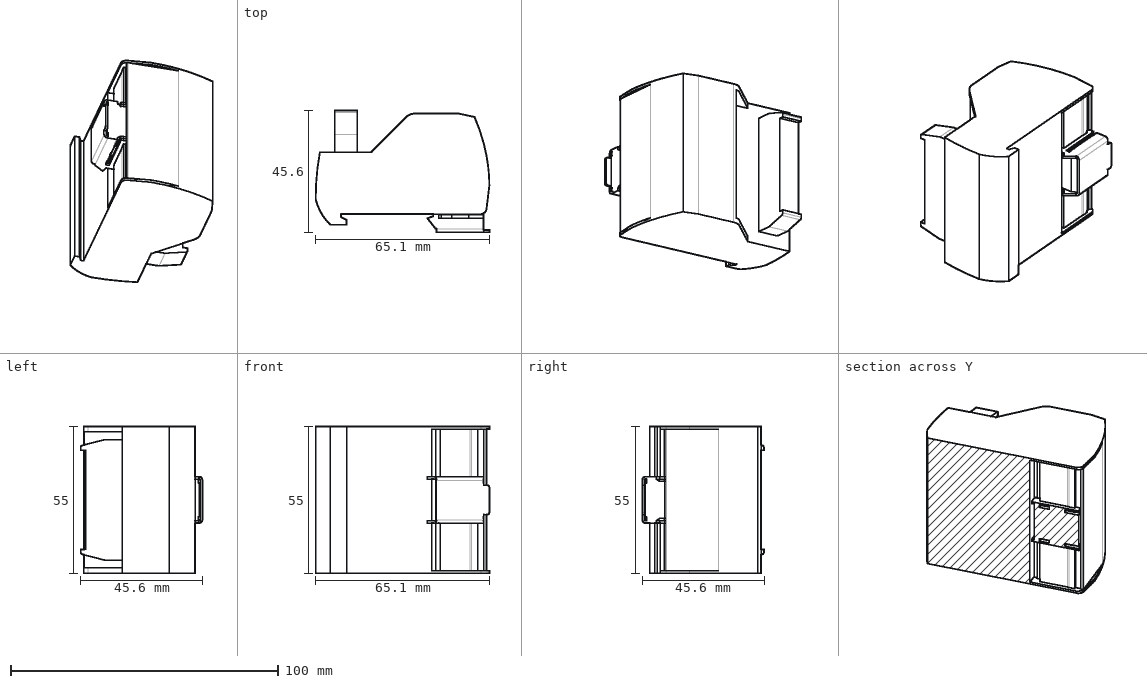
import cadquery as cq

length = 65.05
width = 55.0
end_wall = 1.05
inner_width = width - 2 * end_wall

overlap = 0.65

hook_drop = 4.05
hook_end_x = 11.65
hook_tip_y = -2.15
hook_root_x = 9.55
hook_root_y = -1.1
left_corner_y = 5.5
left_arc_point = (0.3, 14.0)
hook_arc_point = (2.1, 0.3)
hook_start_x = 5.5
deck_y = 23.15
deck_start_x = 1.55
tower_foot_x = 20.7
tower_top_y = 37.65
tower_bevel_x = 53.4
tower_tip_x = 59.45
tower_tip_y = 36.35
back_arc_point = (63.55, 23.9)
nose_y = 10.8
heel_x = 63.75
heel_radius = 2.3
shoulder_radius = 5.2

tower_wall = 2.1
shoulder_x = tower_foot_x + tower_top_y - deck_y
pocket_back_x = 35.85

holder_x = 7.1
holder_length = 8.5
holder_half_width = 22.5
holder_bend_y = 29.85
holder_lip_half_width = 20.2
holder_tip_y = 38.8
holder_tip_radius = 0.85
holder_gap_half_width = 18.5
holder_gap_y = 36.9

recess_x = 43.4
groove_x = 44.95
groove_wall_x = 46.65
groove_y = 3.25
groove_root_y = 4.0
groove_arc_point = (44.25, 3.7)
floor_y = 1.5
ramp_x = 57.65
ramp_end_x = 58.2
step_x = 60.7
ramp_floor_y = 1.35
step_floor_y = 2.2
rim_x = 62.85
rim_y = 1.75
rim_crown = (63.3, 1.75)
inner_end_x = 64.0

latch_half_width = 8.7
latch_y = -6.8
sheet = 0.9
bend_radius = 1.35
latch_start_x = 45.15
latch_end_x = 62.85
latch_neck_x = 44.0
claw_x = 41.75
claw_y = -1.55
claw_root_y = -0.8
claw_base_x = 44.8
claw_base_y = -5.45
slot_x = 46.0
slot_top_y = -0.2
slot_bottom_y = -1.5
tab_half_width = 5.5
tab_radius = 1.0

slider_shoulder_y = -5.3
slider_nose_y = -3.2
slider_tongue_y = -5.65
slider_tongue_half_width = 6.4
slider_neck_half_width = 6.9
slider_start_x = groove_x
slider_nose_x = slider_start_x + 1.3
front_pad_end_x = 47.0
rib_x = 50.95
rib_length = 6.3


def prism(sketch, thickness):
    """Extrude an XY outline symmetrically about Z = 0."""
    return sketch.extrude(thickness / 2, both=True)


def block(x_range, y_range, thickness):
    """Box centred on Z = 0 spanning the given X and Y ranges."""
    size_x = x_range[1] - x_range[0]
    size_y = y_range[1] - y_range[0]
    corner = cq.Workplane("XY", origin=(x_range[0], y_range[0], 0))
    return corner.box(size_x, size_y, thickness, centered=(False, False, True))


def yz_section(points, x_start, x_length):
    """Extrude a (Y, Z) polygon along +X."""
    return cq.Workplane("YZ", origin=(x_start, 0, 0)).polyline(points).close().extrude(x_length)


def mirrored(half_points):
    """Complete a (Y, Z) half outline with its mirror image about Z = 0."""
    return half_points + [(y, -z) for y, z in reversed(half_points)]


def housing():
    """Full-width body with the fixed rail hook at its left end."""
    outline = (
        cq.Workplane("XY")
        .moveTo(deck_start_x, deck_y)
        .threePointArc(left_arc_point, (0, left_corner_y))
        .threePointArc(hook_arc_point, (hook_start_x, -hook_drop))
        .lineTo(hook_end_x, -hook_drop)
        .lineTo(hook_end_x, hook_tip_y)
        .lineTo(hook_root_x, hook_root_y)
        .lineTo(hook_root_x, 0)
        .lineTo(heel_x, 0)
        .lineTo(length, nose_y)
        .threePointArc(back_arc_point, (tower_tip_x, tower_tip_y))
        .lineTo(tower_bevel_x, tower_top_y)
        .lineTo(shoulder_x, tower_top_y)
        .lineTo(tower_foot_x, deck_y)
        .close()
    )
    body = prism(outline, width)
    for x, y, radius in ((heel_x, 0, heel_radius), (shoulder_x, tower_top_y, shoulder_radius)):
        corner = cq.selectors.NearestToPointSelector((x, y, 0))
        body = body.edges(corner).fillet(radius)
    return body


def tower_pocket():
    """Pocket that leaves the sloped tower front only as two end walls."""
    return block((tower_foot_x, pocket_back_x), (deck_y, tower_top_y), width - 2 * tower_wall)


def rail_recess():
    """Stepped recess in the rail face, closed by the two end walls."""
    outline = (
        cq.Workplane("XY")
        .moveTo(recess_x, hook_tip_y)
        .lineTo(recess_x, groove_root_y)
        .threePointArc(groove_arc_point, (groove_x, groove_y))
        .lineTo(groove_wall_x, groove_y)
        .lineTo(groove_wall_x, floor_y)
        .lineTo(ramp_x, floor_y)
        .lineTo(ramp_end_x, ramp_floor_y)
        .lineTo(step_x, ramp_floor_y)
        .lineTo(step_x, step_floor_y)
        .lineTo(rim_x, step_floor_y)
        .threePointArc(rim_crown, (inner_end_x, rim_y))
        .lineTo(inner_end_x, hook_tip_y)
        .close()
    )
    return prism(outline, inner_width)


def end_setback():
    """Strip removed so that the end walls stand proud of the right side."""
    return block((inner_end_x, length), (hook_tip_y, tower_top_y), inner_width)


def marker_holder():
    """Block with two hooked lips along its top."""
    lip_half = [
        (deck_y - overlap, holder_half_width),
        (holder_bend_y, holder_half_width),
        (holder_tip_y, holder_lip_half_width),
        (holder_tip_y, holder_gap_half_width),
        (holder_gap_y, holder_gap_half_width),
    ]
    holder = yz_section(mirrored(lip_half), holder_x, holder_length)
    return holder.edges("|X and >Y").edges(">Z or <Z").fillet(holder_tip_radius)


def latch():
    """Clip with pointed claws, a slot in each side plate and a pull tab."""

    def bent_bar(offset):
        bar = block((claw_x, latch_end_x), (latch_y + offset, groove_y), 2 * (latch_half_width - offset))
        return bar.edges("|X and <Y").fillet(bend_radius - offset)

    side_outline = (
        cq.Workplane("XY")
        .polyline(
            [
                (latch_neck_x, groove_y),
                (latch_neck_x, claw_root_y),
                (claw_x, claw_y),
                (claw_base_x, claw_base_y),
                (latch_start_x, claw_base_y),
                (latch_start_x, latch_y),
                (latch_end_x, latch_y),
                (latch_end_x, groove_y),
            ]
        )
        .close()
    )
    clip = bent_bar(0).cut(bent_bar(sheet)).intersect(prism(side_outline, 2 * latch_half_width))
    clip = clip.cut(block((slot_x, latch_end_x), (slot_bottom_y, slot_top_y), 2 * latch_half_width))
    tab = block((latch_end_x - overlap, length), (latch_y, latch_y + sheet), 2 * tab_half_width)
    return clip.union(tab.edges("|Y and >X").fillet(tab_radius))


def slider():
    """Guide block filling the latch, with a tongue toward the base plate."""
    half_width = latch_half_width - sheet
    lower = [
        (slot_bottom_y, half_width),
        (slider_shoulder_y, half_width),
        (slider_shoulder_y, slider_tongue_half_width),
        (slider_tongue_y, slider_tongue_half_width),
    ]
    neck = [(groove_y, slider_neck_half_width), (slot_top_y, slider_neck_half_width)]
    core = yz_section(mirrored(neck + lower), slider_start_x, latch_end_x - slider_start_x)
    for start, end in ((slider_start_x, front_pad_end_x), (rib_x, rib_x + rib_length)):
        core = core.union(block((start, end), (slot_bottom_y, groove_y), 2 * half_width))
    nose_cut = (
        cq.Workplane("XY")
        .moveTo(slider_start_x, slider_nose_y)
        .lineTo(slider_nose_x, slider_tongue_y)
        .lineTo(slider_start_x, slider_tongue_y)
        .close()
    )
    return core.cut(prism(nose_cut, 2 * half_width))


result = housing().cut(tower_pocket()).cut(rail_recess()).cut(end_setback())
result = result.union(marker_holder()).union(latch()).union(slider())